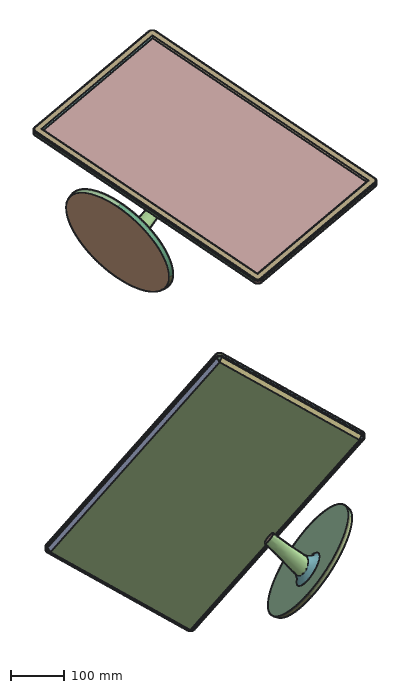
import cadquery as cq
import math

overall_depth = 416.0

monitor_width = 570.0
monitor_height = 340.0
monitor_top_z = 39.5
rim_thickness = 10.0
back_thickness = 8.5
corner_radius = 9.5
front_chamfer = 2.0
back_step = 3.0
back_taper = 7.0
bezel_width = 13.5
recess_depth = 3.5
recess_taper = 3.0
monitor_center_y = overall_depth - monitor_height / 2

foot_width = 262.0
foot_height = 206.0
foot_thickness = 10.0
foot_band = 2.0
foot_inset = 1.5

neck_tip = ((100.0, 7.5), (100.0, -7.0), 28.5)
neck_middle = ((65.5, -3.0), (62.5, -24.0), 33.5)
neck_root = ((32.0, -10.0), (20.0, -46.0), 42.0)
flare_middle = ((15.5, -5.0), (14.0, -52.5), 60.5)
flare_base = ((foot_thickness, 4.5), (foot_thickness, -60.5), 75.0)


def rounded_plate(inset, z):
    """Monitor outline moved inwards by inset, at height z."""
    return (
        cq.Sketch()
        .rect(monitor_width - 2 * inset, monitor_height - 2 * inset)
        .vertices()
        .fillet(corner_radius - inset)
        .moved(cq.Location(cq.Vector(0, monitor_center_y, z)))
    )


def make_rim():
    """Front slab with rounded corners and a chamfered front edge."""
    return (
        cq.Workplane("XY")
        .placeSketch(rounded_plate(0, monitor_top_z - rim_thickness))
        .extrude(rim_thickness)
        .faces(">Z")
        .chamfer(front_chamfer)
    )


def make_back():
    """Stepped-in back cover with sloping sides."""
    back_top_z = monitor_top_z - rim_thickness
    taper_angle = math.degrees(math.atan(back_taper / back_thickness))
    return (
        cq.Workplane("XY")
        .placeSketch(rounded_plate(back_step, back_top_z))
        .extrude(-back_thickness, taper=taper_angle)
    )


def make_screen_recess():
    """Shallow screen pocket with sloping walls."""
    taper_angle = math.degrees(math.atan(recess_taper / recess_depth))
    return (
        cq.Workplane("XY", origin=(0, monitor_center_y, monitor_top_z))
        .rect(monitor_width - 2 * bezel_width, monitor_height - 2 * bezel_width)
        .extrude(-recess_depth, taper=taper_angle)
    )


def make_monitor():
    return make_rim().union(make_back()).cut(make_screen_recess())


def ellipse_wire(upper, lower, width):
    """Ellipse standing between an upper and a lower (Y, Z) point."""
    rise_y = upper[0] - lower[0]
    rise_z = upper[1] - lower[1]
    center = cq.Vector(0, (upper[0] + lower[0]) / 2, (upper[1] + lower[1]) / 2)
    half_width = width / 2
    half_height = math.hypot(rise_y, rise_z) / 2
    normal = cq.Vector(0, -rise_z, rise_y)
    plane = cq.Plane(center, xDir=(1, 0, 0), normal=normal)
    return cq.Workplane(plane).ellipse(half_width, half_height).wires().val()


def make_neck():
    """Slanted arm and the flare that spreads it onto the foot."""
    arm = cq.Solid.makeLoft([ellipse_wire(*s) for s in (neck_tip, neck_middle, neck_root)])
    flare = cq.Solid.makeLoft([ellipse_wire(*s) for s in (neck_root, flare_middle, flare_base)])
    return cq.Workplane(arm).union(cq.Workplane(flare))


def make_foot():
    """Elliptical plate: a straight band at the neck side, then a tapering rim."""
    taper_height = foot_thickness - foot_band
    taper_angle = math.degrees(math.atan(foot_inset / taper_height))
    outline = cq.Workplane("XZ", origin=(0, taper_height, 0)).ellipse(foot_width / 2, foot_height / 2)
    rim = outline.extrude(taper_height, taper=taper_angle)
    return rim.faces(">Y").wires().toPending().extrude(-foot_band)


def make_stand():
    return make_foot().union(make_neck())


monitor = make_monitor()
stand = make_stand()

result = cq.Compound.makeCompound([monitor.val(), stand.val()])